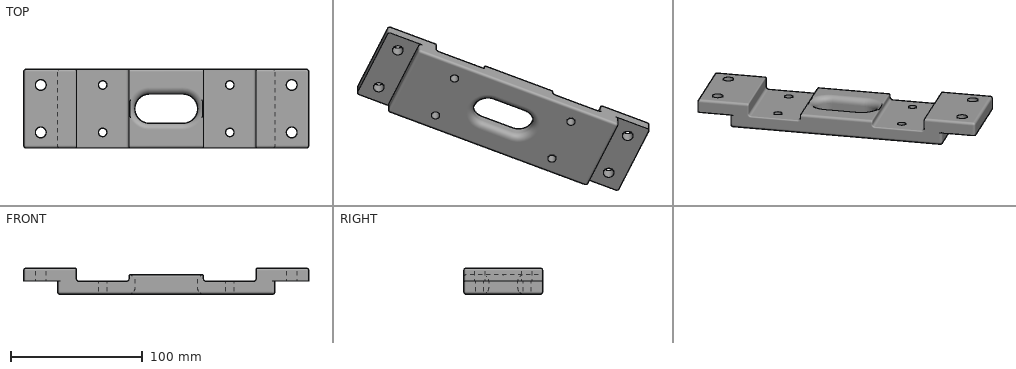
import cadquery as cq

length = 216.5
width = 60.0
height = 20.0

base_length = 165.0
step_height = 10.0
end_block_length = 40.0
island_length = 56.5
island_height = 15.0

outer_radius = 2.0
pocket_floor_radius = 2.0
pocket_rim_radius = 1.0

hole_spacing_y = 36.0
end_hole_diameter = 8.0
end_hole_spacing_x = 190.5
pocket_hole_diameter = 6.25
pocket_hole_spacing_x = 96.5

slot_length = 47.5
slot_width = 22.0
slot_rim_radius = 5.0

half_length = length / 2
half_width = width / 2
half_base = base_length / 2
half_island = island_length / 2
pocket_outer_x = half_length - end_block_length

tolerance = 0.01


def same(a, b):
    return abs(a - b) < tolerance


def pick_edges(body, wanted):
    """Edges of the body whose center point satisfies the given test."""
    return body.newObject([edge for edge in body.edges().vals() if wanted(edge.Center())])


def on_side(point):
    """True on the front or back face of the bar."""
    return same(abs(point.y), half_width)


def on_pocket_wall(point):
    """True on an upright wall of either pocket."""
    return same(abs(point.x), half_island) or same(abs(point.x), pocket_outer_x)


def is_pocket_floor_corner(point):
    """Inside corner between a pocket floor and a pocket wall."""
    return on_pocket_wall(point) and same(point.z, step_height)


def is_outer_edge(point):
    """Outer edge of the bar, apart from the pockets and the undersides of the end blocks."""
    on_end = same(abs(point.x), half_length)
    on_base_end = same(abs(point.x), half_base)
    on_bottom = same(point.z, 0)
    on_block_top = same(point.z, height)
    on_island_top = same(point.z, island_height) and same(point.x, 0)
    if on_side(point):
        return on_end or on_base_end or on_bottom or on_block_top or on_island_top
    return on_bottom or (on_end and on_block_top)


def is_pocket_rim(point):
    """Edge running around a pocket: along its open sides and over the tops of its walls."""
    in_pocket = half_island - tolerance < abs(point.x) < pocket_outer_x + tolerance
    above_floor = point.z > step_height - tolerance
    on_floor_seam = same(point.y, 0) and point.z < step_height + pocket_floor_radius + tolerance
    return in_pocket and above_floor and not on_floor_seam


def make_stepped_bar():
    """Bar extruded along Y from its stepped profile, with all outside edges rounded."""
    right_half = [
        (half_base, 0),
        (half_base, step_height),
        (half_length, step_height),
        (half_length, height),
        (pocket_outer_x, height),
        (pocket_outer_x, step_height),
        (half_island, step_height),
        (half_island, island_height),
    ]
    left_half = [(-x, z) for x, z in reversed(right_half)]
    bar = cq.Workplane("XZ").polyline(right_half + left_half).close().extrude(half_width, both=True)
    bar = pick_edges(bar, is_pocket_floor_corner).fillet(pocket_floor_radius)
    bar = pick_edges(bar, is_outer_edge).fillet(outer_radius)
    return pick_edges(bar, is_pocket_rim).fillet(pocket_rim_radius)


def make_slot_cutter():
    """Hand slot that flares out through a full round at the island top and at the bottom.

    The flare reaches the rounded ends of the island, so the cutter is shaped in a plain
    plate and taken as the part of that plate which the rounded slot removes.
    """
    plate = cq.Workplane("XY").box(length, width, island_height, centered=(True, True, False))
    slotted = plate.faces(">Z").workplane().slot2D(slot_length, slot_width).cutThruAll()
    in_slot = cq.selectors.BoxSelector(
        (-slot_length, -slot_width, -height), (slot_length, slot_width, height)
    )
    rounded = slotted.edges("#Z").edges(in_slot).fillet(slot_rim_radius)
    return plate.cut(rounded)


def make_hole_cutters(spacing_x, diameter):
    """Four through-hole cutters at the corners of a centered rectangle."""
    return (
        cq.Workplane("XY")
        .rect(spacing_x, hole_spacing_y, forConstruction=True)
        .vertices()
        .circle(diameter / 2)
        .extrude(height)
    )


result = make_stepped_bar().cut(make_slot_cutter())
result = result.cut(make_hole_cutters(end_hole_spacing_x, end_hole_diameter))
result = result.cut(make_hole_cutters(pocket_hole_spacing_x, pocket_hole_diameter))